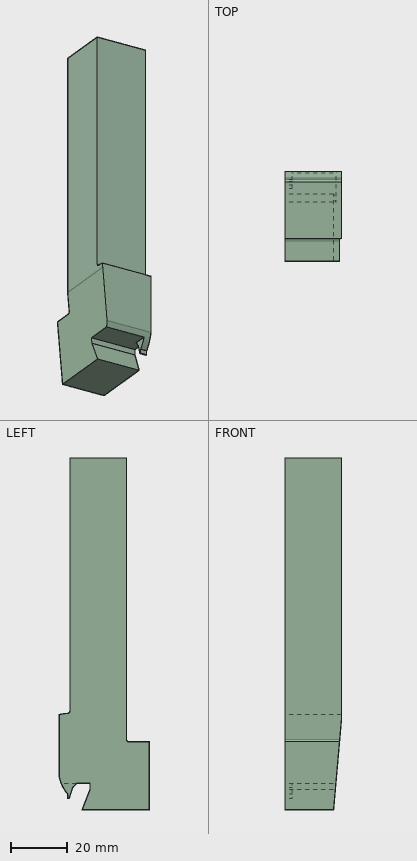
import cadquery as cq
import math

shank_size = 20.0
overall_height = 124.0

overall_depth = 31.72
front_overhang = 8.0
front_step_z = 24.0
back_y = overall_depth - front_overhang
back_ledge_z = 34.0
back_ledge_flat = 1.4
back_ledge_angle = 10.0
step_fillet = 0.8

taper_height = 32.0
taper_angle = 5.0

gullet_roof_z = 9.3
gullet_wall_y = 12.9
gullet_wall_bottom_z = 7.2
gullet_mouth_y = 15.7
gullet_roof_end_y = 17.6
gullet_bend_y = 18.95
gullet_bend_z = 7.8

tip_back_y = 20.75
tip_front_y = 20.2
tip_bottom_z = 4.0
tip_width = 2.5
tip_shoulder_z = 5.5

relief_top_z = 11.5
relief_bend_y = 22.6
relief_bend_z = 8.3


def make_profile():
    """Side outline in the YZ plane, extruded across the width of the shank."""
    slope_start_y = shank_size + back_ledge_flat
    ledge_drop = (back_y - slope_start_y) * math.tan(math.radians(back_ledge_angle))
    return (
        cq.Workplane("YZ")
        .moveTo(0, overall_height)
        .lineTo(0, front_step_z)
        .lineTo(-front_overhang, front_step_z)
        .lineTo(-front_overhang, 0)
        .lineTo(gullet_mouth_y, 0)
        .lineTo(gullet_wall_y, gullet_wall_bottom_z)
        .lineTo(gullet_wall_y, gullet_roof_z)
        .lineTo(gullet_roof_end_y, gullet_roof_z)
        .lineTo(gullet_bend_y, gullet_bend_z)
        .lineTo(tip_front_y, tip_bottom_z)
        .lineTo(tip_back_y, tip_bottom_z)
        .lineTo(tip_back_y, tip_shoulder_z)
        .threePointArc((relief_bend_y, relief_bend_z), (back_y, relief_top_z))
        .lineTo(back_y, back_ledge_z - ledge_drop)
        .lineTo(slope_start_y, back_ledge_z)
        .lineTo(shank_size, back_ledge_z)
        .lineTo(shank_size, overall_height)
        .close()
        .extrude(shank_size)
    )


def fillet_inside_corner(body, y, z):
    """Round the edge along X at the given corner between the head and the shank."""
    corner = cq.selectors.NearestToPointSelector((shank_size / 2, y, z))
    return body.edges(corner).fillet(step_fillet)


def make_taper_cut():
    """Wedge that narrows the head toward its bottom on the +X side."""
    taper_inset = taper_height * math.tan(math.radians(taper_angle))
    return (
        cq.Workplane("XZ", origin=(0, back_y, 0))
        .moveTo(shank_size, taper_height)
        .lineTo(shank_size, 0)
        .lineTo(shank_size - taper_inset, 0)
        .close()
        .extrude(overall_depth)
    )


def make_tip_side_cut():
    """Clearance that leaves the jaw tip only as a narrow blade along the -X face."""
    return cq.Workplane("XY").box(
        shank_size - tip_width,
        back_y - gullet_roof_end_y,
        gullet_roof_z,
        centered=False,
    ).translate((tip_width, gullet_roof_end_y, 0))


body = make_profile()
body = fillet_inside_corner(body, 0, front_step_z)
body = fillet_inside_corner(body, shank_size, back_ledge_z)
result = body.cut(make_taper_cut()).cut(make_tip_side_cut())